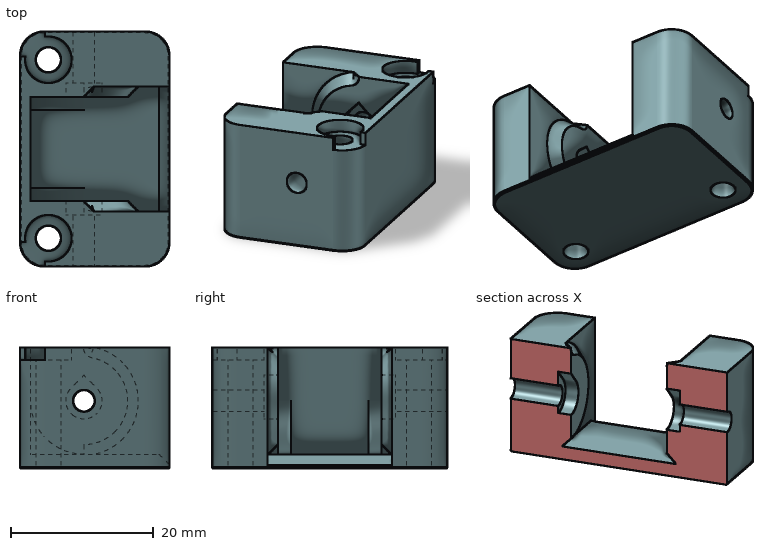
import cadquery as cq
import math

length_x = 21.0
width_y = 33.0
height_z = 17.0
corner_radius = 3.5
bottom_chamfer = 0.2

back_wall = 1.5
floor_lip_chamfer = 1.5
narrow_half_width = 7.25
boss_height = 1.5
wide_half_width = narrow_half_width + boss_height

axis_x = 8.98
axis_z = 9.5
boss_radius = 7.62
side_hole_diameter = 3.0
recess_radius = 2.55
recess_depth = 1.98
gusset_thickness = 1.8

gusset_radius = axis_x - back_wall
floor_z = axis_z - gusset_radius

screw_inset = 4.0
screw_hole_diameter = 3.5
counterbore_diameter = 6.55
counterbore_depth = 1.78


def box(x_min, x_max, y_min, y_max, z_min, z_max):
    """Box given by its limits along the three axes."""
    size = (x_max - x_min, y_max - y_min, z_max - z_min)
    return cq.Workplane("XY").box(*size, centered=False).translate((x_min, y_min, z_min))


def y_cylinder(radius, y_start, y_end):
    """Cylinder on the cross axis."""
    return cq.Workplane(
        cq.Solid.makeCylinder(
            radius, y_end - y_start, cq.Vector(axis_x, y_start, axis_z), cq.Vector(0, 1, 0)
        )
    )


def outer_block():
    block = box(0, length_x, -width_y / 2, width_y / 2, 0, height_z)
    return block.edges("|Z").fillet(corner_radius).faces("<Z").edges().chamfer(bottom_chamfer)


def pocket():
    """Full-width pocket, with the front edge of its floor chamfered."""
    profile = [
        (back_wall, floor_z),
        (length_x - floor_lip_chamfer, floor_z),
        (length_x, floor_z - floor_lip_chamfer),
        (length_x, height_z),
        (back_wall, height_z),
    ]
    return cq.Workplane("XZ").polyline(profile).close().extrude(wide_half_width, both=True)


def wall_boss():
    """Raised pad on the +Y pocket wall: a 45 degree cone with a straight pad behind it."""
    cone = cq.Workplane(
        cq.Solid.makeCone(
            boss_radius - boss_height, boss_radius, boss_height,
            cq.Vector(axis_x, narrow_half_width, axis_z), cq.Vector(0, 1, 0),
        )
    )
    tip_x = axis_x + math.sqrt(boss_radius**2 - (height_z - axis_z) ** 2)
    pad_profile = [
        (back_wall, floor_z),
        (axis_x, floor_z),
        (axis_x, axis_z),
        (tip_x, height_z),
        (back_wall, height_z),
    ]
    pad = (
        cq.Workplane("XZ", origin=(0, wide_half_width, 0))
        .polyline(pad_profile).close().extrude(boss_height)
    )
    tip_cone = cq.Workplane(
        cq.Solid.makeCone(
            boss_height, 0, boss_height,
            cq.Vector(tip_x, narrow_half_width, height_z), cq.Vector(0, 1, 0),
        )
    )
    inside_block = box(back_wall, length_x, 0, wide_half_width, floor_z, height_z)
    return cone.intersect(inside_block).union(pad.cut(tip_cone))


def gusset():
    """Concave web where the back wall, the floor and the +Y wall meet."""
    web_start = narrow_half_width - gusset_thickness
    web = box(back_wall, axis_x, web_start, narrow_half_width, floor_z, axis_z)
    return web.cut(y_cylinder(gusset_radius, web_start, narrow_half_width))


def recess():
    """Teardrop recess in the +Y wall, with a 45 degree roof."""
    tangent = recess_radius * math.sqrt(0.5)
    roof_height = recess_radius * math.sqrt(2)
    return (
        cq.Workplane("XZ", origin=(axis_x, narrow_half_width + recess_depth, axis_z))
        .moveTo(0, roof_height)
        .lineTo(tangent, tangent)
        .threePointArc((0, -recess_radius), (-tangent, tangent))
        .close()
        .extrude(recess_depth)
    )


def screw_seat():
    """Screw hole and counterbore at the +Y back corner, with the corner itself cut away."""
    seat_z = height_z - counterbore_depth
    screw_y = width_y / 2 - screw_inset
    hole = (
        cq.Workplane("XY").center(screw_inset, screw_y)
        .circle(screw_hole_diameter / 2).extrude(height_z)
    )
    counterbore = (
        cq.Workplane("XY", origin=(screw_inset, screw_y, seat_z))
        .circle(counterbore_diameter / 2).extrude(counterbore_depth)
    )
    corner = box(0, corner_radius, width_y / 2 - corner_radius, width_y / 2, seat_z, height_z)
    return hole.union(counterbore).union(corner)


def both_sides(shape):
    """The shape together with its mirror image across the XZ plane."""
    return shape.union(shape.mirror("XZ"))


result = (
    outer_block()
    .cut(pocket())
    .union(both_sides(wall_boss().union(gusset())))
    .cut(both_sides(recess()))
    .cut(both_sides(screw_seat()))
    .cut(y_cylinder(side_hole_diameter / 2, -width_y / 2, width_y / 2))
)